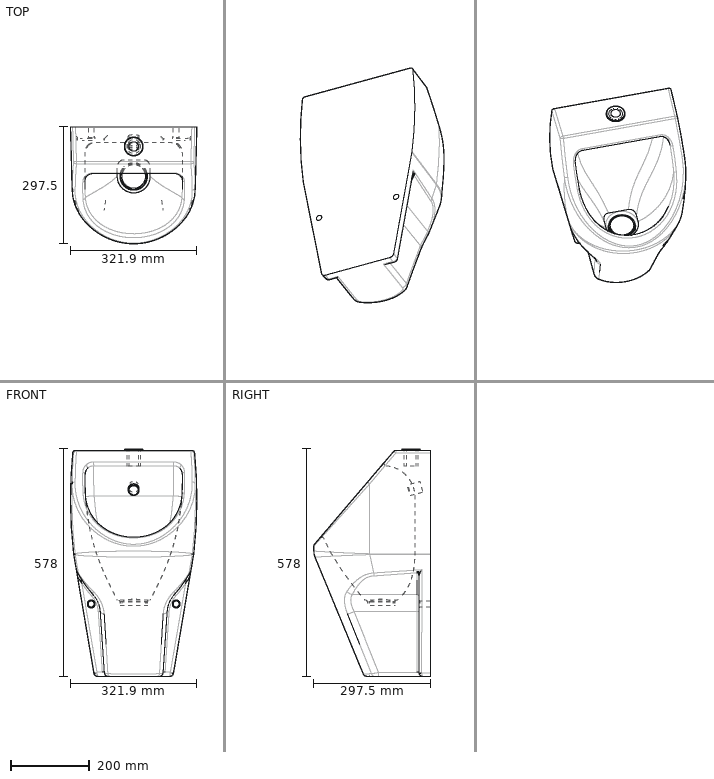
import cadquery as cq
import math


body_height = 575.0
widest_z = 445.0
knee_z = 311.0
top_half_width = 154.5
widest_half_width = 160.96
knee_half_width = 152.8
foot_half_width = 100.0
side_draft = 4.0
body_depth = 297.49
body_seam_depth = 155.0
foot_depth = 169.0
foot_seam_depth = 88.0

shelf_depth = 92.0
rim_front_z = 334.0
rim_slope = (body_height - rim_front_z) / (body_depth - shelf_depth)

top_round = 7.5
knee_round = 40.0
foot_round = 11.0

flange_thickness = 30.0
trunk_foot_half_width = 74.0
trunk_shoulder = (85.0, 165.0)
trunk_flare = (103.0, 208.0)
pocket_top = (150.0, 278.0)
pocket_floor_round = 5.0
flange_edge_round = 7.5
flange_height = 295.0
trunk_edge_round = 22.0
trunk_edge_depth = 173.0

mount_hole_dia = 15.0
mount_sink_dia = 20.0
mount_hole_x = 108.0
mount_hole_z = 184.5

bowl_back_depth = 40.0
ceiling_spring_z = 456.0
ceiling_radius = 80.0
ceiling_axis_depth = bowl_back_depth + ceiling_radius
bowl_corner_round = 22.0
bowl_corner_half_width = 91.0
mouth_round = 6.0
mouth_centre_depth = 235.0

bowl_floor_z = 195.0
bowl_levels = [
    (bowl_floor_z, 42.0, 84.0, 126.0, 168.0),
    (245.0, 67.0, 50.0, 146.0, 208.0),
    (308.0, 93.0, bowl_back_depth, 162.0, 250.0),
    (377.0, 112.0, bowl_back_depth, 173.0, 282.0),
    (465.0, 123.0, bowl_back_depth, 180.0, 300.0),
    (560.0, 120.0, bowl_back_depth, 180.0, 302.0),
]

inlet_depth = 50.0
inlet_flange_dia = 48.0
inlet_flange_height = 2.99
inlet_flange_chamfer = 1.5
inlet_sleeve_dia = 35.0
inlet_bore_dia = 24.0
inlet_sleeve_length = 40.0

nozzle_z = 477.0
nozzle_dia = 28.0
nozzle_chamfer = 2.0
nozzle_reach = 14.0
nozzle_embed = 20.0
nozzle_tilt = math.asin((nozzle_z - ceiling_spring_z) / ceiling_radius)

drain_depth = 126.0
drain_recess_dia = 70.0
drain_recess_depth = 14.0
drain_recess_round = 6.0
drain_ring_dia = 66.0
drain_ring_height = 10.0
strainer_dia = 60.0
strainer_edge_height = 9.0
strainer_dome_height = 7.0


def rim_height(depth):
    """Height of the sloped rim plane at a given depth from the wall."""
    return body_height - (depth - shelf_depth) * rim_slope


def nearest(x, y, z):
    return cq.NearestToPointSelector((x, y, z))


def rounded_section(height, back_half, seam_half, back_depth, seam_depth, front_depth):
    """Level closed wire with a straight back, straight sides and a half-ellipse front."""
    back_left = cq.Vector(-back_half, -back_depth, height)
    back_right = cq.Vector(back_half, -back_depth, height)
    seam_left = cq.Vector(-seam_half, -seam_depth, height)
    seam_right = cq.Vector(seam_half, -seam_depth, height)
    front = cq.Edge.makeEllipse(
        seam_half, front_depth - seam_depth, pnt=cq.Vector(0, -seam_depth, height), angle1=180, angle2=360
    )
    return cq.Wire.assembleEdges([
        cq.Edge.makeLine(back_right, back_left),
        cq.Edge.makeLine(back_left, seam_left),
        front,
        cq.Edge.makeLine(seam_right, back_right),
    ])


def outer_section(height, half_width, seam_depth, front_depth):
    return rounded_section(height, half_width, half_width - side_draft, 0, seam_depth, front_depth)


def upper_body():
    """Bulging upper half, cut by the sloped rim plane and rounded along the top and rim edges."""
    sections = [
        outer_section(knee_z, knee_half_width, body_seam_depth, body_depth),
        outer_section(widest_z, widest_half_width, body_seam_depth, body_depth),
        outer_section(body_height, top_half_width, body_seam_depth, body_depth),
    ]
    body = cq.Workplane(cq.Solid.makeLoft(sections))
    overshoot_depth = body_depth + shelf_depth
    above_rim = (
        cq.Workplane("YZ")
        .moveTo(-shelf_depth, body_height)
        .lineTo(-overshoot_depth, rim_height(overshoot_depth))
        .lineTo(-overshoot_depth, body_height)
        .close()
        .extrude(2 * widest_half_width, both=True)
    )
    body = body.cut(above_rim)
    shelf_edges = body.faces(">Z").edges("not >Y").vals()
    rim_middle = (shelf_depth + body_depth) / 2
    rim_face = body.faces(nearest(0, -rim_middle, rim_height(rim_middle)))
    rim_edges = rim_face.edges("not >Z").vals()
    return body.newObject(shelf_edges + rim_edges).fillet(top_round)


def pedestal():
    """Lower half tapering in straight lines from the knee to the foot."""
    foot = outer_section(0, foot_half_width, foot_seam_depth, foot_depth)
    knee = outer_section(knee_z, knee_half_width, body_seam_depth, body_depth)
    return cq.Workplane(cq.Solid.makeLoft([foot, knee], True))


def side_block(side, back_depth):
    """Everything outside the trunk outline on one side, in front of the given depth."""
    outer_x = side * 2 * foot_half_width
    return (
        cq.Workplane("XZ", origin=(0, -back_depth, 0))
        .moveTo(side * trunk_foot_half_width, 0)
        .lineTo(side * trunk_shoulder[0], trunk_shoulder[1])
        .tangentArcPoint((side * trunk_flare[0], trunk_flare[1]), relative=False)
        .tangentArcPoint((side * pocket_top[0], pocket_top[1]), relative=False)
        .lineTo(outer_x, pocket_top[1])
        .lineTo(outer_x, 0)
        .close()
        .extrude(body_depth)
    )


def trunk(blank):
    """Blank with everything beside the trunk removed, and its outline and foot edges rounded."""
    body = blank
    for side in (-1, 1):
        body = body.cut(side_block(side, 0))
    for side in (-1, 1):
        lower_edge_middle = nearest(
            side * (trunk_foot_half_width + trunk_shoulder[0]) / 2,
            -trunk_edge_depth,
            trunk_shoulder[1] / 2,
        )
        body = body.edges(lower_edge_middle).fillet(trunk_edge_round)
    return body.faces("<Z").edges("not >Y").fillet(foot_round)


def wall_flange(blank):
    """Back slice of the blank, rounded along its foot and its front side edges."""
    slab = (
        cq.Workplane("XY")
        .box(2 * widest_half_width, flange_thickness, flange_height, centered=(True, False, False))
        .translate((0, -flange_thickness, 0))
        .intersect(blank)
    )
    slab = slab.faces("<Z").edges("not >Y").fillet(foot_round)
    return slab.faces("<Y").edges("<X or >X").fillet(flange_edge_round)


def pocket_floor_bead(side, blank):
    """Concave rounding where the trunk wall meets the flange, starting above the rounded foot."""
    block = side_block(side, flange_thickness)
    lower_edge_middle = nearest(
        side * (trunk_foot_half_width + trunk_shoulder[0]) / 2, -flange_thickness, trunk_shoulder[1] / 2
    )
    bead = block.cut(block.edges(lower_edge_middle).fillet(pocket_floor_round))
    above_foot = (
        cq.Workplane("XY", origin=(0, 0, foot_round))
        .rect(2 * widest_half_width, 2 * body_depth)
        .extrude(body_height)
    )
    return bead.intersect(above_foot).intersect(blank)


def bowl():
    """Bowl cavity with a curved ceiling and rounded back corners."""
    sections = []
    for height, half_width, back, seam, front in bowl_levels:
        sections.append(rounded_section(height, half_width, half_width, back, seam, front))
    funnel = cq.Workplane(cq.Solid.makeLoft(sections))
    ceiling_z = ceiling_spring_z + ceiling_radius
    beyond_body = 2 * body_depth
    side_profile = (
        cq.Workplane("YZ")
        .lineTo(0, ceiling_spring_z)
        .lineTo(-bowl_back_depth, ceiling_spring_z)
        .radiusArc((-ceiling_axis_depth, ceiling_z), -ceiling_radius)
        .lineTo(-beyond_body, ceiling_z)
        .lineTo(-beyond_body, 0)
        .close()
        .extrude(widest_half_width, both=True)
    )
    cavity = funnel.intersect(side_profile)
    corner_height = (ceiling_spring_z + bowl_floor_z) / 2
    left_corner = nearest(-bowl_corner_half_width, -bowl_back_depth, corner_height)
    right_corner = nearest(bowl_corner_half_width, -bowl_back_depth, corner_height)
    return cavity.edges(left_corner + right_corner).fillet(bowl_corner_round)


def drain_recess():
    return (
        cq.Workplane("XY", origin=(0, -drain_depth, bowl_floor_z))
        .circle(drain_recess_dia / 2)
        .extrude(-drain_recess_depth)
    )


def nozzle():
    """Round nozzle standing square to the curved ceiling."""
    axis = cq.Vector(0, -math.cos(nozzle_tilt), -math.sin(nozzle_tilt))
    ceiling_axis = cq.Vector(0, -ceiling_axis_depth, ceiling_spring_z)
    root = ceiling_axis - axis * (ceiling_radius + nozzle_embed)
    return (
        cq.Workplane(cq.Plane(root, xDir=(1, 0, 0), normal=axis))
        .circle(nozzle_dia / 2)
        .extrude(nozzle_embed + nozzle_reach)
        .faces("<Y")
        .chamfer(nozzle_chamfer)
    )


def inlet_bushing():
    """Flanged sleeve sitting in the top shelf."""
    flange = (
        cq.Workplane("XY", origin=(0, -inlet_depth, body_height))
        .circle(inlet_flange_dia / 2)
        .extrude(inlet_flange_height)
        .faces(">Z")
        .edges()
        .chamfer(inlet_flange_chamfer)
    )
    return (
        flange.faces("<Z")
        .workplane()
        .circle(inlet_sleeve_dia / 2)
        .extrude(inlet_sleeve_length)
        .faces(">Z")
        .workplane()
        .circle(inlet_bore_dia / 2)
        .cutThruAll()
    )


def inlet_hole():
    return (
        cq.Workplane("XY", origin=(0, -inlet_depth, body_height))
        .circle(inlet_sleeve_dia / 2)
        .extrude(-inlet_sleeve_length)
    )


def mount_hole(side):
    """Through hole in the wall flange with a conical countersink at the front."""
    sink_depth = (mount_sink_dia - mount_hole_dia) / 2
    shaft = (
        cq.Workplane("XZ", origin=(side * mount_hole_x, 0, mount_hole_z))
        .circle(mount_hole_dia / 2)
        .extrude(flange_thickness)
    )
    countersink = (
        cq.Workplane("XZ", origin=(side * mount_hole_x, -flange_thickness + sink_depth, mount_hole_z))
        .circle(mount_hole_dia / 2)
        .workplane(offset=sink_depth)
        .circle(mount_sink_dia / 2)
        .loft()
    )
    return shaft.union(countersink)


def drain_ring():
    return (
        cq.Workplane("XY", origin=(0, -drain_depth, bowl_floor_z - drain_recess_depth))
        .circle(drain_ring_dia / 2)
        .circle(strainer_dia / 2)
        .extrude(drain_ring_height)
    )


def strainer():
    """Domed cover inside the drain ring."""
    radius = strainer_dia / 2
    return (
        cq.Workplane("XZ")
        .lineTo(radius, 0)
        .lineTo(radius, strainer_edge_height)
        .radiusArc(
            (0, strainer_edge_height + strainer_dome_height),
            -(radius**2 + strainer_dome_height**2) / (2 * strainer_dome_height),
        )
        .close()
        .revolve(360, (0, 0, 0), (0, 1, 0))
        .translate((0, -drain_depth, bowl_floor_z - drain_recess_depth))
    )


def ceramic_body():
    blank = upper_body().union(pedestal())
    knee_front = nearest(0, -(body_seam_depth + body_depth) / 2, knee_z)
    blank = blank.edges(knee_front).fillet(knee_round)

    body = trunk(blank).union(wall_flange(blank))
    for side in (-1, 1):
        body = body.union(pocket_floor_bead(side, blank))

    body = body.cut(bowl())
    mouth_front = nearest(0, -mouth_centre_depth, rim_height(mouth_centre_depth))
    body = body.edges(mouth_front).fillet(mouth_round)

    body = body.cut(drain_recess())
    recess_edge = nearest(0, -drain_depth, bowl_floor_z)
    body = body.edges(recess_edge).fillet(drain_recess_round)
    body = body.cut(nozzle()).cut(inlet_hole())
    for side in (-1, 1):
        body = body.cut(mount_hole(side))
    return body


ceramic = ceramic_body()
bushing = inlet_bushing()
spray_nozzle = nozzle()
ring = drain_ring()
cover = strainer()

bodies = []
for part in (ceramic, bushing, spray_nozzle, ring, cover):
    bodies.extend(part.solids().vals())
result = cq.Compound.makeCompound(bodies)